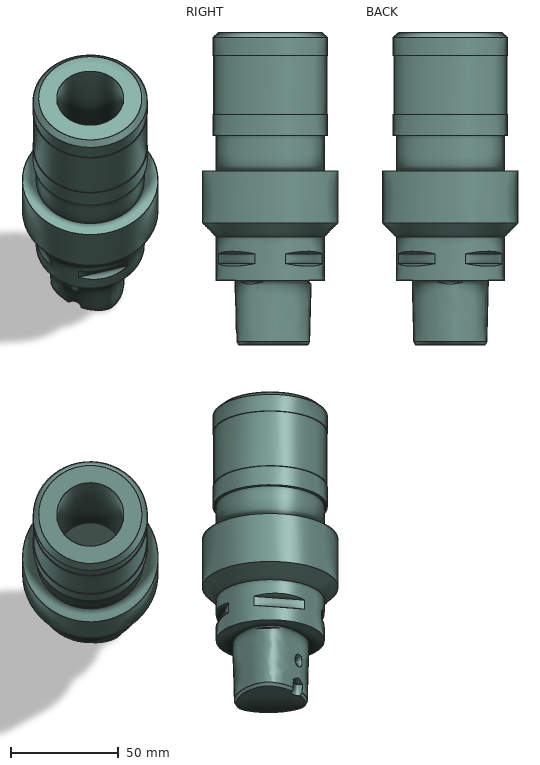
import cadquery as cq
import math

shank_chamfer_top = 1.6
taper_top = 27.0
shoulder_z = 30.0
flange_top = 50.2
collar_bottom = 56.7
collar_top = 80.8
nut_bottom = 97.3
nut_band_top = 106.9
nut_sleeve_top = 134.4
total_height = 145.0

flange_radius = 25.1
collar_radius = 31.5
nut_radius = 26.5
sleeve_relief = 0.3
nut_chamfer_width = 2.6
nut_chamfer_height = 2.3
bore_radius = 15.5
bore_depth = 60.0

shank_radius = 17.62
shank_end_radius = 17.0
lobe_height = 1.3
shank_chamfer = 0.9
lobe_points = 48
relief_radius = 18.0
relief_height = 1.7
relief_cone_height = 0.9

groove_count = 4
groove_z = 40.0
groove_floor_height = 4.5
groove_mouth_height = 7.0
groove_floor_distance = 22.0

dimple_z = 16.1
dimple_radius = 3.0
keyway_radius = 3.9
keyway_axis_distance = 16.7
keyway_height = 5.7
drill_point_angle = 118.0


def lobed_wire(mean_radius, z):
    """Closed constant-width curve whose support radius varies three times per turn."""
    points = []
    for i in range(lobe_points):
        angle = 2 * math.pi * i / lobe_points
        phase = 3 * (angle - math.pi / 2)
        support = mean_radius + lobe_height * math.cos(phase)
        slope = -3 * lobe_height * math.sin(phase)
        x = support * math.cos(angle) - slope * math.sin(angle)
        y = support * math.sin(angle) + slope * math.cos(angle)
        points.append(cq.Vector(x, y, z))
    return cq.Wire.assembleEdges([cq.Edge.makeSpline(points, periodic=True)])


def lobed_section(bottom_radius, bottom_z, top_radius, top_z):
    wires = [lobed_wire(bottom_radius, bottom_z), lobed_wire(top_radius, top_z)]
    return cq.Workplane(obj=cq.Solid.makeLoft(wires, True))


def make_body():
    sleeve_radius = nut_radius - sleeve_relief
    outline = [
        (0, shoulder_z),
        (flange_radius, shoulder_z),
        (flange_radius, flange_top),
        (collar_radius, collar_bottom),
        (collar_radius, collar_top),
        (flange_radius, collar_top),
        (flange_radius, nut_bottom),
        (nut_radius, nut_bottom),
        (nut_radius, nut_band_top),
        (sleeve_radius, nut_band_top),
        (sleeve_radius, nut_sleeve_top),
        (nut_radius, nut_sleeve_top),
        (nut_radius, total_height - nut_chamfer_height),
        (nut_radius - nut_chamfer_width, total_height),
        (bore_radius, total_height),
        (bore_radius, total_height - bore_depth),
        (0, total_height - bore_depth),
    ]
    return cq.Workplane("XZ").polyline(outline).close().revolve(360, (0, 0), (0, 1))


def make_shank():
    shank = lobed_section(shank_end_radius - shank_chamfer, 0, shank_end_radius, shank_chamfer_top)
    shank = shank.union(lobed_section(shank_end_radius, shank_chamfer_top, shank_radius, taper_top))
    shank = shank.union(lobed_section(shank_radius, taper_top, shank_radius, shoulder_z))
    cone_base_radius = shank_radius + lobe_height
    trim_outline = [
        (relief_radius, shoulder_z - relief_height + relief_cone_height),
        (relief_radius, shoulder_z),
        (collar_radius, shoulder_z),
        (collar_radius, shoulder_z - relief_height),
        (cone_base_radius, shoulder_z - relief_height),
    ]
    trim = cq.Workplane("XZ").polyline(trim_outline).close().revolve(360, (0, 0), (0, 1))
    return shank.cut(trim)


def make_groove(angle):
    mouth_half = groove_mouth_height / 2
    floor_half = groove_floor_height / 2
    section = [
        (groove_floor_distance, groove_z - floor_half),
        (flange_radius, groove_z - mouth_half),
        (flange_radius, groove_z + mouth_half),
        (groove_floor_distance, groove_z + floor_half),
    ]
    groove = cq.Workplane("XZ").polyline(section).close().extrude(flange_radius, both=True)
    return groove.rotate((0, 0, 0), (0, 0, 1), angle)


def make_dimple():
    """90-degree cone whose rim lies on the tapered -Y face."""
    taper_fraction = (dimple_z - shank_chamfer_top) / (taper_top - shank_chamfer_top)
    local_radius = shank_end_radius + taper_fraction * (shank_radius - shank_end_radius)
    face_distance = local_radius - lobe_height
    tip_distance = face_distance - dimple_radius
    cone_length = 2 * dimple_radius
    tip = cq.Vector(0, -tip_distance, dimple_z)
    return cq.Workplane(obj=cq.Solid.makeCone(0, cone_length, cone_length, tip, cq.Vector(0, -1, 0)))


def make_keyway():
    point_height = keyway_radius / math.tan(math.radians(drill_point_angle / 2))
    outline = [
        (0, 0),
        (keyway_radius, 0),
        (keyway_radius, keyway_height),
        (0, keyway_height + point_height),
    ]
    drill = cq.Workplane("XZ").polyline(outline).close().revolve(360, (0, 0), (0, 1))
    return drill.translate((0, -keyway_axis_distance, 0))


result = make_body().union(make_shank())
for index in range(groove_count):
    result = result.cut(make_groove((index + 0.5) * 360 / groove_count))
result = result.cut(make_dimple()).cut(make_keyway())